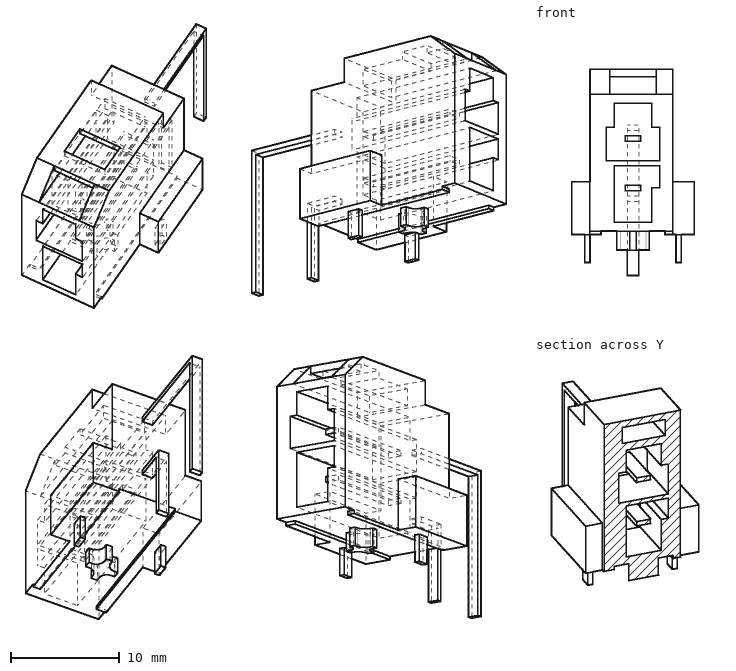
import cadquery as cq
import math


length = 16.86
height = 15.25
left_side = -3.96
right_side = 3.67
shoulder_height = 12.93
shoulder_length = 3.85
slope_length = 2.85

standoff = 0.32
foot_setback = 1.45
foot_gap = 5.85

wing_span = 11.28
wing_front = 8.6
wing_height = 4.87

latch_width = 4.25
bridge_thickness = 0.72
latch_rear_wall = 0.72
window_front = 4.75
window_rear = 7.65

socket_depth = 13.3
socket_half_width = 1.73
key_half_width = 2.45
upper_floor = 6.8
upper_key_top = 9.87
upper_top = 12.1
lower_floor = 1.12
lower_key_bottom = 4.3
lower_top = 6.33

metal_thickness = 0.5
contact_width = 1.4
contact_setback = 3.2
contact_levels = (8.83, 4.3)
tail_width = 1.06
tail_bottom = -3.78
upper_tail_reach = 26.6
upper_tail_top = 10.1
lower_tail_reach = 20.08
lower_tail_top = 3.6

peg_offset = 4.2
peg_front = 10.9
peg_rear = 12.15
peg_bottom = -2.58
post_y = 7.98
post_radius = 1.52
post_bottom = -1.44
rib_half_width = 0.32
rib_fillet_radius = 0.85


def box_between(x_range, y_range, z_range):
    """Box spanning the given limits on each axis."""
    lows, highs = zip(x_range, y_range, z_range)
    sizes = [high - low for low, high in zip(lows, highs)]
    return cq.Workplane("XY").box(*sizes, centered=False).translate(lows)


def centred(width, middle=0.0):
    """Limits of a width centred on a given place."""
    return (middle - width / 2, middle + width / 2)


def extrude_side_profile(points, x_range):
    """Solid with a (Y, Z) outline, spanning the given X limits."""
    start, end = x_range
    return cq.Workplane("YZ", origin=(start, 0, 0)).polyline(points).close().extrude(end - start)


def housing_shell():
    shoulder_y = length - shoulder_length
    profile = [
        (0, 0),
        (length, 0),
        (length, shoulder_height),
        (shoulder_y, shoulder_height),
        (shoulder_y, height),
        (slope_length, height),
        (0, shoulder_height),
    ]
    shell = extrude_side_profile(profile, (left_side, right_side))
    wings = box_between(centred(wing_span), (wing_front, length), (0, wing_height))
    return shell.union(wings)


def underside_relief():
    front_step = box_between(centred(wing_span), (0, foot_setback), (0, standoff))
    gap = box_between(centred(foot_gap), (0, length), (0, standoff))
    return front_step.union(gap)


def latch_channel():
    channel_end = length - shoulder_length - latch_rear_wall
    bridge_bottom = height - bridge_thickness
    sides = centred(latch_width)
    channel = box_between(sides, (0, channel_end), (shoulder_height, bridge_bottom))
    mouth = box_between(sides, (0, slope_length), (shoulder_height, height))
    window = box_between(sides, (window_front, window_rear), (shoulder_height, height))
    return channel.union(mouth).union(window)


def sockets():
    depth = (0, socket_depth)
    main = centred(2 * socket_half_width)
    upper_main = box_between(main, depth, (upper_floor, upper_top))
    upper_keys = box_between(centred(2 * key_half_width), depth, (upper_floor, upper_key_top))
    lower_main = box_between(main, depth, (lower_floor, lower_top))
    lower_key = box_between((0, key_half_width), depth, (lower_key_bottom, lower_top))
    return upper_main.union(upper_keys).union(lower_main).union(lower_key)


def contact(level):
    """Flat blade from the contact tip into the wall behind the sockets."""
    return box_between(
        centred(contact_width), (contact_setback, length), centred(metal_thickness, level)
    )


def solder_tail(reach, top):
    """Bent tail leaving the rear wall and turning down through the board."""
    profile = [
        (socket_depth, top),
        (reach, top),
        (reach, tail_bottom),
        (reach - metal_thickness, tail_bottom),
        (reach - metal_thickness, top - metal_thickness),
        (socket_depth, top - metal_thickness),
    ]
    return extrude_side_profile(profile, centred(tail_width))


def hold_down_peg(x):
    return box_between(
        centred(metal_thickness, x), (peg_front, peg_rear), (peg_bottom, standoff)
    )


def locating_post():
    """Cross-ribbed post: a cylinder with a concave scallop between each pair of ribs."""
    post_height = standoff - post_bottom
    scallop_centre = rib_half_width + rib_fillet_radius
    arc_middle = scallop_centre - rib_fillet_radius * math.sqrt(0.5)
    outside = 2 * post_radius
    scallop = (
        cq.Workplane("XY")
        .moveTo(outside, rib_half_width)
        .lineTo(scallop_centre, rib_half_width)
        .threePointArc((arc_middle, arc_middle), (rib_half_width, scallop_centre))
        .lineTo(rib_half_width, outside)
        .lineTo(outside, outside)
        .close()
        .extrude(post_height)
    )
    post = cq.Workplane("XY").circle(post_radius).extrude(post_height)
    for quarter in range(4):
        post = post.cut(scallop.rotate((0, 0, 0), (0, 0, 1), 90 * quarter))
    return post.translate((0, post_y, post_bottom))


result = housing_shell()
for cavity in (underside_relief(), latch_channel(), sockets()):
    result = result.cut(cavity)

for contact_level in contact_levels:
    result = result.union(contact(contact_level))
result = result.union(solder_tail(upper_tail_reach, upper_tail_top))
result = result.union(solder_tail(lower_tail_reach, lower_tail_top))

for peg_x in (-peg_offset, peg_offset):
    result = result.union(hold_down_peg(peg_x))
result = result.union(locating_post())